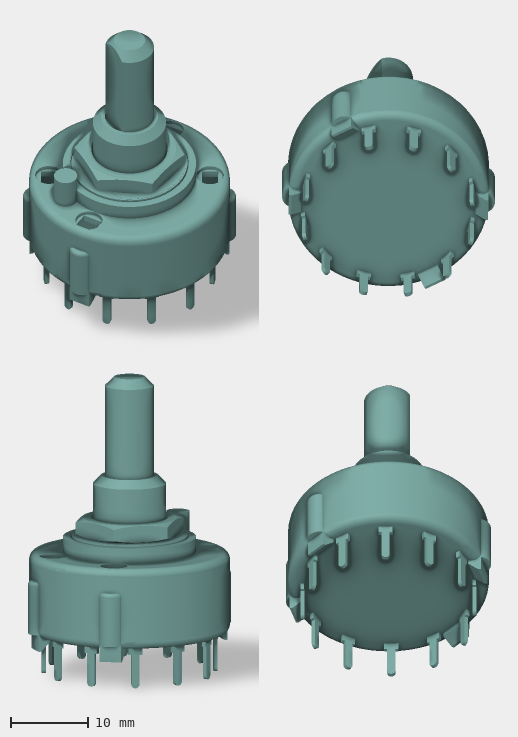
import cadquery as cq

BODY_BOTTOM = 5.35
BODY_TOP = 15.9
BOSS_TOP = 17.85
WASHER_TOP = 18.05
SEAT_TOP = 18.1
BUSHING_TOP = 25.95
SHAFT_TOP = 38.9

BODY_RADIUS = 26.0 / 2
BODY_FILLET = 1.0
CAVITY_RADIUS = 24.0 / 2
LID_THICKNESS = 1.4
FLOOR_THICKNESS = 1.15
BOSS_RADIUS = 17.25 / 2

WASHER_RADIUS = 15.0 / 2
RECESS_RADIUS = 15.3 / 2
RECESS_DEPTH = 0.3
SEAT_RADIUS = 14.63 / 2
SEAT_FLAT_DISTANCE = 5.68
SEAT_FLAT_ANGLE = -76.7

BUSHING_RADIUS = 9.5 / 2
BUSHING_CHAMFER = 1.05
SHAFT_RADIUS = 6.35 / 2
SHAFT_CHAMFER = 1.15
SHAFT_FLAT_DISTANCE = 2.35
SHAFT_FLAT_ANGLE = -90
SHAFT_FLAT_SINK = 1.0

PEG_RADIUS = 3.0 / 2
PEG_DISTANCE = 9.53
PEG_TOP = 19.88

CLIP_ANGLES = (60, 120, 240, 300)
HOLE_RADIUS = 3.55 / 2
HOLE_DISTANCE = 10.43
HOLE_DEPTH = 0.5
WINDOW_RADIAL = 2.1
WINDOW_WIDTH = 2.65
RIB_RADIUS = 1.6
RIB_DISTANCE = 12.18
RIB_BOTTOM = 5.85
RIB_TOP = 12.8
RIB_FILLET = 0.5
HOOK_OUTER = 12.9
HOOK_INNER = 11.3
HOOK_WIDTH = 2.88
HOOK_SKEW = 0.25
HOOK_BOTTOM = 3.7
HOOK_SLOPE_TOP = 4.85
HOOK_TIP_THICKNESS = 0.35

PIN_COUNT = 12
PIN_START_ANGLE = 15
PIN_DISTANCE = 11.13
PIN_WIDTH = 1.05
PIN_THICKNESS = 0.5
PIN_SHOULDER_WIDTH = 1.83
PIN_SHOULDER_BOTTOM = 4.4

NUT_TOP = 20.42
NUT_CORNER_RADIUS = 7.15
NUT_FACE_RADIUS = 6.03
NUT_BORE_RADIUS = 9.9 / 2
NUT_CORNER_DROP = 0.43
NUT_ANGLE = -5.5


def disc(radius, bottom, top):
    """Upright cylinder on the switch axis."""
    return cq.Workplane("XY").workplane(offset=bottom).circle(radius).extrude(top - bottom)


def around_axis(shape, angle):
    """Turn a shape built on the +X side to its place around the switch axis."""
    return shape.rotate((0, 0, 0), (0, 0, 1), angle)


def half_space_block(distance, size, bottom, top):
    """Block that fills everything beyond x = distance within a given size."""
    return (
        cq.Workplane("XY")
        .workplane(offset=bottom)
        .center(distance + size / 2, 0)
        .rect(size, 2 * size)
        .extrude(top - bottom)
    )


def make_can():
    """Round switch body with both rims filleted."""
    return disc(BODY_RADIUS, BODY_BOTTOM, BODY_TOP).edges().fillet(BODY_FILLET)


def make_cavity():
    """Hollow inside the switch body, between its floor and its lid."""
    return disc(CAVITY_RADIUS, BODY_BOTTOM + FLOOR_THICKNESS, BODY_TOP - LID_THICKNESS)


def make_boss():
    """Boss with a recess that leaves a fine ring gap around the washer."""
    recess_floor = BOSS_TOP - RECESS_DEPTH
    boss = disc(BOSS_RADIUS, BODY_TOP, BOSS_TOP)
    boss = boss.cut(disc(RECESS_RADIUS, recess_floor, BOSS_TOP))
    washer = disc(WASHER_RADIUS, recess_floor, WASHER_TOP)
    seat = disc(SEAT_RADIUS, WASHER_TOP, SEAT_TOP)
    beyond_flat = half_space_block(SEAT_FLAT_DISTANCE, SEAT_RADIUS, WASHER_TOP, SEAT_TOP)
    seat = seat.cut(around_axis(beyond_flat, SEAT_FLAT_ANGLE))
    return boss.union(washer).union(seat)


def make_bushing_and_shaft():
    """Bushing and D-shaft; the flat runs a little way down into the bushing."""
    bushing = disc(BUSHING_RADIUS, BODY_TOP, BUSHING_TOP).faces(">Z").chamfer(BUSHING_CHAMFER)
    flat_bottom = BUSHING_TOP - SHAFT_FLAT_SINK
    shaft = disc(SHAFT_RADIUS, flat_bottom, SHAFT_TOP).faces(">Z").chamfer(SHAFT_CHAMFER)
    beyond_flat = half_space_block(SHAFT_FLAT_DISTANCE, SHAFT_RADIUS, flat_bottom, SHAFT_TOP)
    shaft = shaft.cut(around_axis(beyond_flat, SHAFT_FLAT_ANGLE))
    shaft_socket = disc(SHAFT_RADIUS, flat_bottom, BUSHING_TOP)
    return bushing.cut(shaft_socket).union(shaft)


def make_peg():
    """Locating peg on the front side of the boss."""
    peg = cq.Workplane("XY").workplane(offset=BODY_TOP).center(0, -PEG_DISTANCE)
    return peg.circle(PEG_RADIUS).extrude(PEG_TOP - BODY_TOP)


def make_clip_hole():
    """Shallow round recess with a rectangular window through the rest of the lid."""
    floor = BODY_TOP - HOLE_DEPTH
    recess = cq.Workplane("XY").workplane(offset=floor).center(HOLE_DISTANCE, 0)
    recess = recess.circle(HOLE_RADIUS).extrude(HOLE_DEPTH)
    window = cq.Workplane("XY").workplane(offset=floor).center(HOLE_DISTANCE, 0)
    window = window.rect(WINDOW_RADIAL, WINDOW_WIDTH).extrude(HOLE_DEPTH - LID_THICKNESS)
    return recess.union(window)


def make_clip_rib():
    """Rounded rib that stands out of the side wall."""
    rib = cq.Workplane("XY").workplane(offset=RIB_BOTTOM).center(RIB_DISTANCE, 0)
    rib = rib.circle(RIB_RADIUS).extrude(RIB_TOP - RIB_BOTTOM)
    return rib.faces(">Z").edges().fillet(RIB_FILLET)


def make_clip_hook(skew):
    """Hook under a rib: its inner face is shifted sideways by skew and slopes at the bottom."""
    half_width = HOOK_WIDTH / 2
    plan = [
        (HOOK_OUTER, -half_width),
        (HOOK_OUTER, half_width),
        (HOOK_INNER, half_width + skew),
        (HOOK_INNER, skew - half_width),
    ]
    side = [
        (HOOK_OUTER, HOOK_BOTTOM),
        (HOOK_OUTER - HOOK_TIP_THICKNESS, HOOK_BOTTOM),
        (HOOK_INNER, HOOK_SLOPE_TOP),
        (HOOK_INNER, RIB_BOTTOM),
        (HOOK_OUTER, RIB_BOTTOM),
    ]
    hook = cq.Workplane("XY").workplane(offset=HOOK_BOTTOM).polyline(plan).close()
    hook = hook.extrude(RIB_BOTTOM - HOOK_BOTTOM)
    side_profile = cq.Workplane("XZ").polyline(side).close()
    return hook.intersect(side_profile.extrude(HOOK_WIDTH, both=True))


def make_terminal():
    """Flat pin with a wider shoulder under the body and a rounded tip."""
    half_width = PIN_WIDTH / 2
    half_shoulder = PIN_SHOULDER_WIDTH / 2
    return (
        cq.Workplane("YZ")
        .workplane(offset=PIN_DISTANCE)
        .moveTo(-half_shoulder, BODY_BOTTOM)
        .lineTo(-half_shoulder, PIN_SHOULDER_BOTTOM)
        .lineTo(-half_width, PIN_SHOULDER_BOTTOM)
        .lineTo(-half_width, half_width)
        .threePointArc((0, 0), (half_width, half_width))
        .lineTo(half_width, PIN_SHOULDER_BOTTOM)
        .lineTo(half_shoulder, PIN_SHOULDER_BOTTOM)
        .lineTo(half_shoulder, BODY_BOTTOM)
        .close()
        .extrude(PIN_THICKNESS / 2, both=True)
    )


def make_switch():
    """Complete switch as one solid."""
    switch = make_can()
    for index, angle in enumerate(CLIP_ANGLES):
        skew = -HOOK_SKEW if index % 2 == 0 else HOOK_SKEW
        switch = switch.cut(around_axis(make_clip_hole(), angle))
        switch = switch.union(around_axis(make_clip_rib(), angle))
        switch = switch.union(around_axis(make_clip_hook(skew), angle))
    switch = switch.cut(make_cavity())
    for index in range(PIN_COUNT):
        angle = PIN_START_ANGLE + index * 360 / PIN_COUNT
        switch = switch.union(around_axis(make_terminal(), angle))
    switch = switch.union(make_boss())
    switch = switch.union(make_bushing_and_shaft())
    return switch.union(make_peg())


def make_nut():
    """Hexagon nut with the corners of both faces turned down to a cone."""
    height = NUT_TOP - SEAT_TOP
    hexagon = cq.Workplane("XY").workplane(offset=SEAT_TOP)
    hexagon = hexagon.polygon(6, 2 * NUT_CORNER_RADIUS).extrude(height)
    hexagon = around_axis(hexagon, NUT_ANGLE)
    turned_blank = disc(NUT_CORNER_RADIUS, SEAT_TOP, NUT_TOP).edges().chamfer(
        NUT_CORNER_DROP, NUT_CORNER_RADIUS - NUT_FACE_RADIUS
    )
    return hexagon.intersect(turned_blank).cut(disc(NUT_BORE_RADIUS, SEAT_TOP, NUT_TOP))


switch = make_switch()
nut = make_nut()
result = cq.Compound.makeCompound([switch.val(), nut.val()])